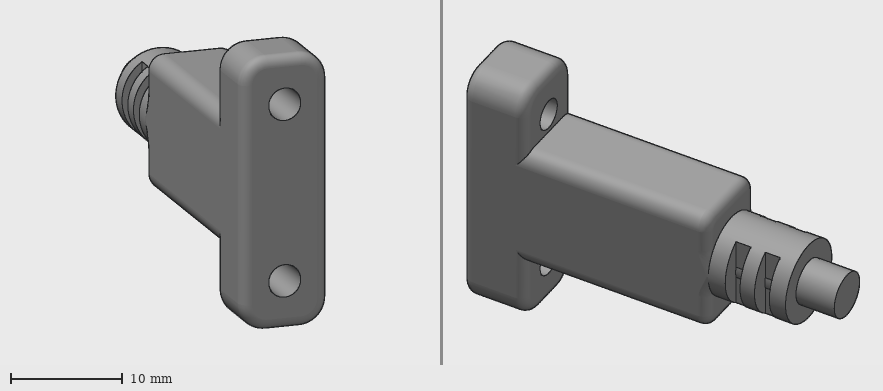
import cadquery as cq

TOTAL_LENGTH = 37.5
WIDTH = 8.2
FLANGE_HEIGHT = 25.5

SLEEVE_START = 3.98
BODY_START = 12.0
FLANGE_START = 30.98

BODY_HEIGHT = 12.55
BODY_CORNER_RADIUS = 1.5
FLANGE_CORNER_RADIUS = 2.5
END_EDGE_RADIUS = 1.0

SCREW_HOLE_DIAMETER = 3.05
SCREW_HOLE_SPACING = 16.5

SLEEVE_DIAMETER = 8.18
CABLE_DIAMETER = 4.5

SLOT_STARTS = (5.65, 8.7)
SLOT_WIDTH = 1.55
SLOT_FLOOR_HALF_WIDTH = 2.18


def rounded_bar(start, end, height, corner_radius):
    """Bar along X with rounded long edges."""
    return (
        cq.Workplane("YZ", origin=(start, 0, 0))
        .rect(WIDTH, height)
        .extrude(end - start)
        .edges("|X")
        .fillet(corner_radius)
    )


def cylinder(start, end, diameter):
    """Round bar on the X axis."""
    return cq.Workplane("YZ", origin=(start, 0, 0)).circle(diameter / 2).extrude(end - start)


def make_flange():
    """Screw flange with both end rims rounded, before its holes are cut."""
    flange = rounded_bar(FLANGE_START, TOTAL_LENGTH, FLANGE_HEIGHT, FLANGE_CORNER_RADIUS)
    return flange.faces("<X or >X").edges().fillet(END_EDGE_RADIUS)


def cut_screw_holes(housing):
    """Cut the two screw holes straight through the flange."""
    holes = (
        cq.Workplane("YZ", origin=(FLANGE_START, 0, 0))
        .pushPoints([(0, -SCREW_HOLE_SPACING / 2), (0, SCREW_HOLE_SPACING / 2)])
        .circle(SCREW_HOLE_DIAMETER / 2)
        .extrude(TOTAL_LENGTH - FLANGE_START)
    )
    return housing.cut(holes)


def cut_slots(housing):
    """Cut the paired strain relief slots on both sides of the sleeve."""
    slot_depth = WIDTH / 2 - SLOT_FLOOR_HALF_WIDTH
    slot_centre = SLOT_FLOOR_HALF_WIDTH + slot_depth / 2
    for start in SLOT_STARTS:
        for side in (-1, 1):
            slot = cq.Workplane("XY").box(SLOT_WIDTH, slot_depth, WIDTH)
            housing = housing.cut(slot.translate((start + SLOT_WIDTH / 2, side * slot_centre, 0)))
    return housing


def make_grip():
    """Grip body with its sleeve; the rim rounding fades out where it runs into the sleeve."""
    grip_end = FLANGE_START + END_EDGE_RADIUS
    block = rounded_bar(BODY_START, grip_end, BODY_HEIGHT, BODY_CORNER_RADIUS)
    grip = block.union(cylinder(SLEEVE_START, BODY_START, SLEEVE_DIAMETER))
    shoulder = grip.faces("|X").faces("<X[1]").val()
    return grip.newObject(shoulder.outerWire().Edges()).fillet(END_EDGE_RADIUS)


def make_housing():
    """Moulded housing: grip body, flange and slotted sleeve with a bore for the cable."""
    housing = make_grip().union(make_flange())
    housing = cut_slots(cut_screw_holes(housing))
    return housing.cut(make_cable())


def make_cable():
    """Cable held in the sleeve, ending level with the body shoulder."""
    return cylinder(0, BODY_START, CABLE_DIAMETER)


housing = make_housing()
cable = make_cable()

result = cq.Compound.makeCompound([housing.val(), cable.val()])